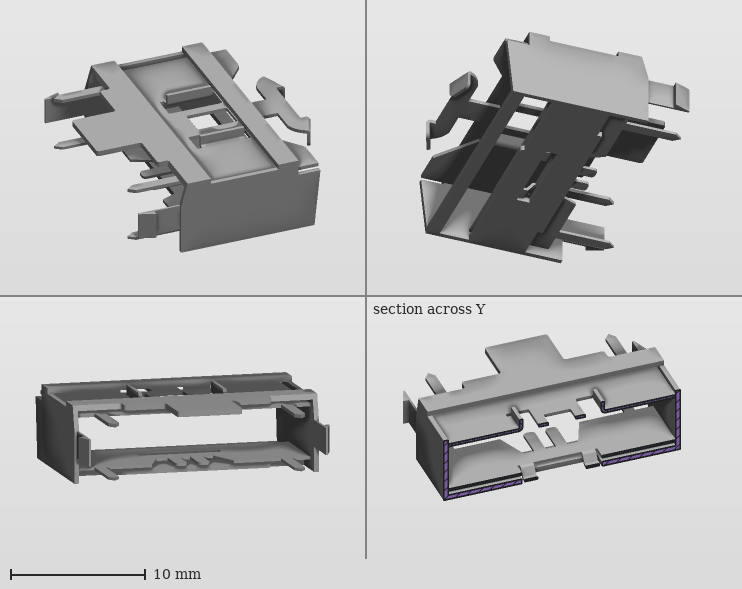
import cadquery as cq
import math

SIDES = (-1, 1)

half_width = 9.4
wall = 0.37
inner_half_width = half_width - wall
height = 5.83
sheet = 0.42
roof_underside = height - sheet
slope_start_z = 3.94
slope_top_y = 0.52
wall_rear_bottom_y = 10.71
rear_y = 11.2
shoulder_z = 4.61
rear_bar_back_y = 9.44
rear_bar_front_y = 7.82
front_bar_back_y = 2.4

tongue_shoulder_half_width = 5.67
tongue_shoulder_y = -0.35
tongue_half_width = 2.49
tongue_tip_y = -3.9
tongue_corner_radius = 0.2

floor_front_y = 2.57
floor_step_half_width = 6.37
floor_step_depth = 0.39
floor_rear_bar_depth = 1.0
floor_tab_half_width = 2.82
floor_tab_rear_y = 7.66
floor_tab_corner_radius = 0.27

opening_front_y = 4.79
opening_rear_y = 5.79
opening_half_width = 3.17

arm_thickness = 0.15
arm_bottom_z = 1.9
barb_y = -2.07
barb_tip_y = -3.32
barb_half_span = 9.65

plate_front_y = 1.1
pin_x = 7.16
pin_half_width = 0.4
pin_taper_y = -2.85
pin_tip_y = -3.38

upper_z = 4.77
upper_thickness = 0.27
upper_top_z = upper_z + upper_thickness
plate_edge_y = 8.68
wing_tip_x = 6.45
wing_root_x = 3.3
neck_half_width = 1.08
window_rear_y = 7.97
middle_window_front_y = 4.73
window_corner_radius = 0.15
side_window_inner_x = 1.85
side_window_front_y = 3.67
relief_outer_x = 3.7
flange_inner_x = 3.1
flange_front_y = 4.05
flange_rear_y = 7.57
flange_bend_radius = 0.12

head_front_y = 11.17
head_rear_y = 12.47
head_round_start_x = 3.03
head_round_mid_x = 3.75
head_round_mid_y = 11.52
head_notch_half_width = 2.4
hook_root_x = 4.25
hook_root_y = 12.14
hook_length = 2.03
hook_angle = 22.4
hook_bend_radius = 0.35
hook_bottom_z = 3.55
hook_corner_radius = 0.42

lower_z = 0.75
lower_thickness = 0.21
lower_top_z = lower_z + lower_thickness
lower_rear_y = 7.4
finger_root_y = 3.45
finger_tip_y = 1.02
finger_x = 0.87
finger_width = 0.9
finger_tip_radius = 0.29
recess_root_half_width = 2.16
recess_mouth_half_width = 3.15

spring_x = 2.45
spring_width = 1.06
spring_angle = 55.0
spring_bend_radius = 0.35
spring_foot_y = 5.46
spring_heel_radius = 0.08
spring_foot_bottom_z = 0.1


def block(x0, x1, y0, y1, z0, z1):
    """Axis-aligned box between two opposite corners."""
    return cq.Workplane("XY").box(x1 - x0, y1 - y0, z1 - z0, centered=False).translate((x0, y0, z0))


def flat_shape(points, z, thickness):
    """Plate with a polygonal XY outline."""
    return cq.Workplane("XY").workplane(offset=z).polyline(points).close().extrude(thickness)


def side_profile(points, x0, x1):
    """Prism along X with a polygonal YZ outline."""
    return cq.Workplane("YZ").workplane(offset=x0).polyline(points).close().extrude(x1 - x0)


def mirrored(points):
    """Complete an outline given for +X, listed front to rear, with its mirrored half."""
    return points + [(-x, y) for x, y in reversed(points)]


def solder_pin(side, z, thickness):
    """Pointed pin running forward from the front edge of a plate."""
    centre = side * pin_x
    outline = [
        (centre - pin_half_width, plate_front_y),
        (centre - pin_half_width, pin_taper_y),
        (centre, pin_tip_y),
        (centre + pin_half_width, pin_taper_y),
        (centre + pin_half_width, plate_front_y),
    ]
    return flat_shape(outline, z, thickness)


def spring_opening(z, thickness):
    """Cutter for the opening around the latch springs."""
    return block(
        -opening_half_width, opening_half_width, opening_front_y, opening_rear_y, z, z + thickness
    )


def side_wall(side):
    """Side wall, notched at the rear and between the two roof bars."""
    outline = [
        (0, 0),
        (wall_rear_bottom_y, 0),
        (rear_y, shoulder_z),
        (rear_bar_back_y, shoulder_z),
        (rear_bar_back_y, height),
        (rear_bar_front_y, height),
        (rear_bar_front_y, roof_underside),
        (front_bar_back_y, roof_underside),
        (front_bar_back_y, height),
        (slope_top_y, height),
        (0, slope_start_z),
    ]
    x0, x1 = sorted((side * inner_half_width, side * half_width))
    return side_profile(outline, x0, x1)


def front_roof():
    """Front roof bar with its leaning edge, and the stepped tongue in front of it."""
    slope = slope_top_y / (height - slope_start_z)
    bar_outline = [
        (front_bar_back_y, height),
        (slope_top_y, height),
        (slope_top_y - sheet * slope, roof_underside),
        (front_bar_back_y, roof_underside),
    ]
    bar = side_profile(bar_outline, -inner_half_width, inner_half_width)
    tongue_outline = mirrored([
        (tongue_half_width, tongue_tip_y),
        (tongue_half_width, tongue_shoulder_y),
        (tongue_shoulder_half_width, tongue_shoulder_y),
        (tongue_shoulder_half_width, front_bar_back_y),
    ])
    roof = bar.union(flat_shape(tongue_outline, roof_underside, sheet))
    corner_box = cq.selectors.BoxSelector(
        (-tongue_shoulder_half_width - 0.2, tongue_tip_y - 0.2, roof_underside + sheet / 4),
        (tongue_shoulder_half_width + 0.2, slope_top_y + 0.2, height - sheet / 4),
    )
    return roof.edges(corner_box).fillet(tongue_corner_radius)


def floor():
    """Main floor panel with a rear tab and an opening for the springs, and a bar at the very rear."""
    panel_outline = mirrored([
        (floor_step_half_width, floor_front_y),
        (floor_step_half_width, floor_front_y + floor_step_depth),
        (inner_half_width, floor_front_y + floor_step_depth),
        (inner_half_width, lower_rear_y),
    ])
    panel = flat_shape(panel_outline, 0, sheet)
    tab = block(-floor_tab_half_width, floor_tab_half_width, opening_rear_y, floor_tab_rear_y, 0, sheet)
    tab = tab.faces(">Y").edges("|Z").fillet(floor_tab_corner_radius)
    rear_bar = block(
        -inner_half_width, inner_half_width,
        wall_rear_bottom_y - floor_rear_bar_depth, wall_rear_bottom_y, 0, sheet,
    )
    return panel.union(tab).cut(spring_opening(0, sheet)).union(rear_bar)


def snap_arm(side):
    """Thin arm in line with the wall's inner face, ending in an outward barb."""
    arm_outer_x = inner_half_width + arm_thickness
    outline = [
        (inner_half_width, 0),
        (arm_outer_x, 0),
        (arm_outer_x, barb_y),
        (barb_half_span, barb_y),
        (arm_outer_x, barb_tip_y),
        (inner_half_width, barb_tip_y),
    ]
    return flat_shape([(side * x, y) for x, y in outline], arm_bottom_z, slope_start_z - arm_bottom_z)


def make_housing():
    """Shell open at front and rear, closed by two roof bars and the floor."""
    rear_roof = block(
        -inner_half_width, inner_half_width, rear_bar_front_y, rear_bar_back_y, roof_underside, height
    )
    housing = front_roof().union(rear_roof).union(floor())
    for side in SIDES:
        housing = housing.union(side_wall(side)).union(snap_arm(side))
    return housing


def latch_head():
    """Arrow-shaped head on a neck, both in the plane of the plate."""
    angle = math.radians(hook_angle)
    bend_inner_x = hook_root_x - hook_length * math.cos(angle)
    bend_inner_y = hook_root_y + hook_length * math.sin(angle)
    return (
        cq.Workplane("XY").workplane(offset=upper_z)
        .moveTo(neck_half_width, plate_edge_y)
        .lineTo(neck_half_width, head_front_y)
        .lineTo(head_round_start_x, head_front_y)
        .threePointArc((head_round_mid_x, head_round_mid_y), (hook_root_x, hook_root_y))
        .lineTo(bend_inner_x, bend_inner_y)
        .lineTo(head_notch_half_width, head_rear_y)
        .lineTo(-head_notch_half_width, head_rear_y)
        .lineTo(-bend_inner_x, bend_inner_y)
        .lineTo(-hook_root_x, hook_root_y)
        .threePointArc((-head_round_mid_x, head_round_mid_y), (-head_round_start_x, head_front_y))
        .lineTo(-neck_half_width, head_front_y)
        .lineTo(-neck_half_width, plate_edge_y)
        .close()
        .extrude(upper_thickness)
    )


def left_hook():
    """Flap bent down along the slanted rear edge of the latch head on the -X side."""
    angle = math.radians(hook_angle)
    along = (math.cos(angle), math.sin(angle), 0)
    outward = (-math.sin(angle), math.cos(angle), 0)
    profile_plane = cq.Plane(
        origin=(-hook_root_x, hook_root_y, upper_top_z), xDir=outward, normal=along
    )
    inner_radius = hook_bend_radius - upper_thickness
    flap_depth = upper_top_z - hook_bottom_z
    arc_share = math.sqrt(0.5)
    outer_mid = (hook_bend_radius * arc_share, hook_bend_radius * (arc_share - 1))
    inner_mid = (inner_radius * arc_share, inner_radius * arc_share - hook_bend_radius)
    flap = (
        cq.Workplane(profile_plane)
        .moveTo(0, 0)
        .threePointArc(outer_mid, (hook_bend_radius, -hook_bend_radius))
        .lineTo(hook_bend_radius, -flap_depth)
        .lineTo(inner_radius, -flap_depth)
        .lineTo(inner_radius, -hook_bend_radius)
        .threePointArc(inner_mid, (0, -upper_thickness))
        .close()
        .extrude(hook_length)
    )
    return flap.faces("<Z").edges(cq.selectors.ParallelDirSelector(cq.Vector(*outward))).fillet(
        hook_corner_radius
    )


def right_side_window():
    """Opening beside the +X flange, with relief slots past both ends of the flange."""
    opening = block(
        side_window_inner_x, flange_inner_x, side_window_front_y, window_rear_y, upper_z, upper_top_z
    )
    for y0, y1 in ((side_window_front_y, flange_front_y), (flange_rear_y, window_rear_y)):
        opening = opening.union(block(side_window_inner_x, relief_outer_x, y0, y1, upper_z, upper_top_z))
    return opening.edges("|Z and (<X or >X)").fillet(window_corner_radius)


def right_flange():
    """Upright flange on the outer edge of the +X window, bent up from the plate."""
    outer_x = flange_inner_x + upper_thickness
    bend_end_x = outer_x + flange_bend_radius
    outer_bend_radius = flange_bend_radius + upper_thickness
    arc_rise = 1 - math.sqrt(0.5)
    return (
        cq.Workplane("XZ", origin=(0, flange_rear_y, 0))
        .moveTo(bend_end_x, upper_z)
        .lineTo(bend_end_x, upper_top_z)
        .threePointArc(
            (outer_x + flange_bend_radius * arc_rise, upper_top_z + flange_bend_radius * arc_rise),
            (outer_x, upper_top_z + flange_bend_radius),
        )
        .lineTo(outer_x, height)
        .lineTo(flange_inner_x, height)
        .lineTo(flange_inner_x, upper_z + outer_bend_radius)
        .threePointArc(
            (flange_inner_x + outer_bend_radius * arc_rise, upper_z + outer_bend_radius * arc_rise),
            (bend_end_x, upper_z),
        )
        .close()
        .extrude(flange_rear_y - flange_front_y)
    )


def make_upper_plate():
    """Sheet under the roof with windows, flanges, latch and two pins."""
    sheet_outline = mirrored([
        (inner_half_width, plate_front_y),
        (inner_half_width, rear_y),
        (wing_tip_x, rear_y),
        (wing_root_x, plate_edge_y),
    ])
    plate = flat_shape(sheet_outline, upper_z, upper_thickness).union(latch_head())

    middle_window = block(
        -neck_half_width, neck_half_width, middle_window_front_y, window_rear_y, upper_z, upper_top_z
    )
    plate = plate.cut(middle_window.edges("|Z").fillet(window_corner_radius))

    bend_strip = block(
        flange_inner_x, flange_inner_x + upper_thickness + flange_bend_radius,
        flange_front_y, flange_rear_y, upper_z, upper_top_z,
    )
    window = right_side_window().union(bend_strip)
    flange = right_flange()
    hook = left_hook()
    plate = plate.cut(window).cut(window.mirror("YZ"))
    plate = plate.union(flange).union(flange.mirror("YZ"))
    plate = plate.union(hook).union(hook.mirror("YZ"))
    for side in SIDES:
        plate = plate.union(solder_pin(side, upper_z, upper_thickness))
    return plate


def finger(side):
    """Forward-pointing finger with a rounded tip."""
    centre = side * finger_x
    blank = block(
        centre - finger_width / 2, centre + finger_width / 2,
        finger_tip_y, finger_root_y, lower_z, lower_top_z,
    )
    return blank.faces("<Y").edges("|Z").fillet(finger_tip_radius)


def latch_spring(side):
    """Strip curved down from the front edge of the opening to a flat foot inside the floor."""
    angle = math.radians(spring_angle)
    centre_z = lower_top_z - spring_bend_radius
    inner_radius = spring_bend_radius - lower_thickness

    def bend_point(radius, turn):
        return (opening_front_y + radius * math.sin(turn), centre_z + radius * math.cos(turn))

    foot_top_z = spring_foot_bottom_z + lower_thickness
    foot_bottom_y = spring_foot_y - lower_thickness * math.tan(angle / 2)
    strip = (
        cq.Workplane("YZ", origin=(side * spring_x, 0, 0))
        .moveTo(opening_front_y, lower_top_z)
        .threePointArc(bend_point(spring_bend_radius, angle / 2), bend_point(spring_bend_radius, angle))
        .lineTo(spring_foot_y, foot_top_z)
        .lineTo(opening_rear_y, foot_top_z)
        .lineTo(opening_rear_y, spring_foot_bottom_z)
        .lineTo(foot_bottom_y, spring_foot_bottom_z)
        .lineTo(*bend_point(inner_radius, angle))
        .threePointArc(bend_point(inner_radius, angle / 2), (opening_front_y, lower_z))
        .close()
        .extrude(spring_width / 2, both=True)
    )
    inside_corner = cq.selectors.NearestToPointSelector((side * spring_x, spring_foot_y, foot_top_z))
    outside_corner = cq.selectors.NearestToPointSelector(
        (side * spring_x, foot_bottom_y, spring_foot_bottom_z)
    )
    strip = strip.edges(inside_corner).fillet(spring_heel_radius)
    return strip.edges(outside_corner).fillet(spring_heel_radius + lower_thickness)


def make_lower_plate():
    """Sheet above the floor with fingers, latch springs and two pins."""
    plate = block(
        -inner_half_width, inner_half_width, plate_front_y, lower_rear_y, lower_z, lower_top_z
    )
    recess_outline = mirrored([
        (recess_mouth_half_width, plate_front_y),
        (recess_root_half_width, finger_root_y),
    ])
    plate = plate.cut(flat_shape(recess_outline, lower_z, lower_thickness))
    plate = plate.cut(spring_opening(lower_z, lower_thickness))
    for side in SIDES:
        plate = plate.union(finger(side)).union(latch_spring(side))
        plate = plate.union(solder_pin(side, lower_z, lower_thickness))
    return plate


housing = make_housing()
upper_plate = make_upper_plate()
lower_plate = make_lower_plate()

result = cq.Compound.makeCompound([
    housing.solids().val(),
    upper_plate.solids().val(),
    lower_plate.solids().val(),
])